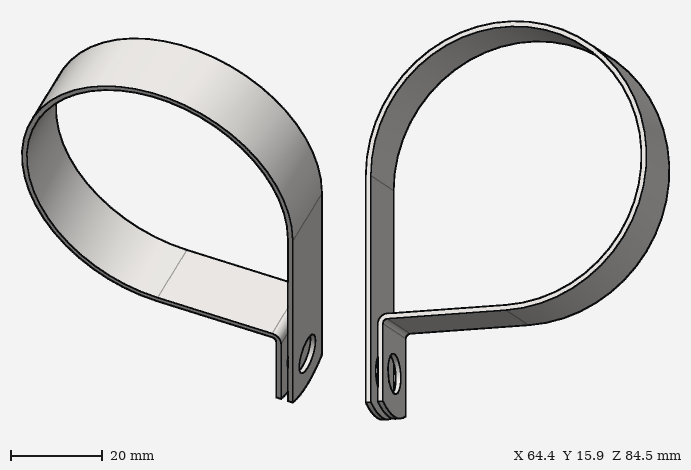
import cadquery as cq
import math

height = 84.5
width = 15.9
thickness = 1.2
loop_radius = 32.2
tab_gap = 1.6
bend_radius = 2.2
hole_diameter = 8.8
hole_height = 9.55
tip_radius = 18.6

loop_z = height - loop_radius
short_tab_x = loop_radius - thickness - tab_gap


def make_strap():
    """Closed side profile of the bent strap, extruded across its width."""
    inner_radius = loop_radius - thickness
    inner_bend = bend_radius - thickness
    floor_top = loop_z - inner_radius
    floor_bottom = loop_z - loop_radius
    bend_x = short_tab_x - bend_radius
    bend_z = floor_top - bend_radius
    diagonal = math.sqrt(0.5)
    profile = (
        cq.Workplane("XZ")
        .moveTo(loop_radius, 0)
        .lineTo(loop_radius, loop_z)
        .threePointArc((-loop_radius * diagonal, loop_z + loop_radius * diagonal), (0, floor_bottom))
        .lineTo(bend_x, floor_bottom)
        .threePointArc(
            (bend_x + inner_bend * diagonal, bend_z + inner_bend * diagonal),
            (bend_x + inner_bend, bend_z),
        )
        .lineTo(short_tab_x - thickness, 0)
        .lineTo(short_tab_x, 0)
        .lineTo(short_tab_x, bend_z)
        .threePointArc(
            (bend_x + bend_radius * diagonal, bend_z + bend_radius * diagonal),
            (bend_x, floor_top),
        )
        .lineTo(0, floor_top)
        .threePointArc(
            (-inner_radius * diagonal, loop_z + inner_radius * diagonal),
            (inner_radius, loop_z),
        )
        .lineTo(inner_radius, 0)
        .close()
    )
    return profile.extrude(width / 2, both=True)


def make_tip_envelope():
    """Block bounded below by the tip arc; trims both tab ends."""
    half_width = width / 2
    corner_z = tip_radius - math.sqrt(tip_radius**2 - half_width**2)
    return (
        cq.Workplane("YZ")
        .moveTo(-half_width, corner_z)
        .threePointArc((0, 0), (half_width, corner_z))
        .lineTo(half_width, height)
        .lineTo(-half_width, height)
        .close()
        .extrude(loop_radius, both=True)
    )


def make_bolt_hole():
    """Cutter that passes through both tabs."""
    return (
        cq.Workplane("YZ")
        .center(0, hole_height)
        .circle(hole_diameter / 2)
        .extrude(loop_radius)
    )


result = make_strap().intersect(make_tip_envelope()).cut(make_bolt_hole())